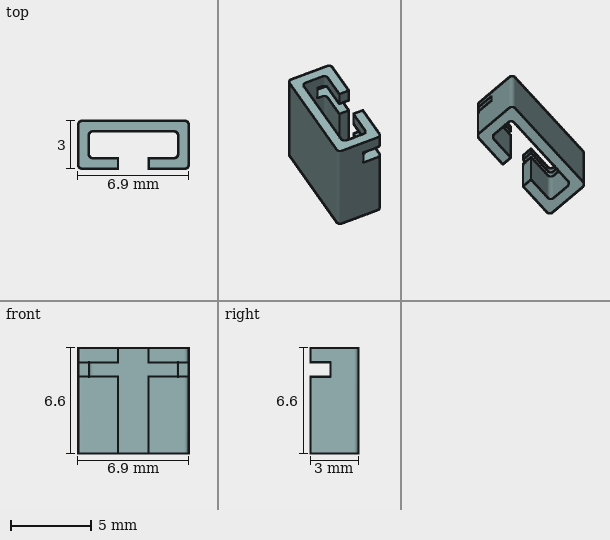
import cadquery as cq

width = 6.9
depth = 3.0
height = 6.6

wall = 0.67
corner_radius = 0.25
mouth_width = 1.9

slot_height = 0.9
slot_depth = 1.25
slot_top_offset = 0.9


def rounded_bar(x_size, y_size):
    """Full-height bar, centred in X and Y, with rounded vertical edges."""
    bar = cq.Workplane("XY").box(x_size, y_size, height, centered=(True, True, False))
    return bar.edges("|Z").fillet(corner_radius)


def make_channel():
    """Rounded tube opened along its -Y wall."""
    tube = rounded_bar(width, depth).cut(rounded_bar(width - 2 * wall, depth - 2 * wall))
    mouth = (
        cq.Workplane("XY")
        .box(mouth_width, wall, height, centered=(True, False, False))
        .translate((0, -depth / 2, 0))
    )
    return tube.cut(mouth)


def make_cross_slot():
    """Slot running the full width, cut in from the open side below the top edge."""
    slot_bottom = height - slot_top_offset - slot_height
    return (
        cq.Workplane("XY")
        .box(width, slot_depth, slot_height, centered=(True, False, False))
        .translate((0, -depth / 2, slot_bottom))
    )


result = make_channel().cut(make_cross_slot())